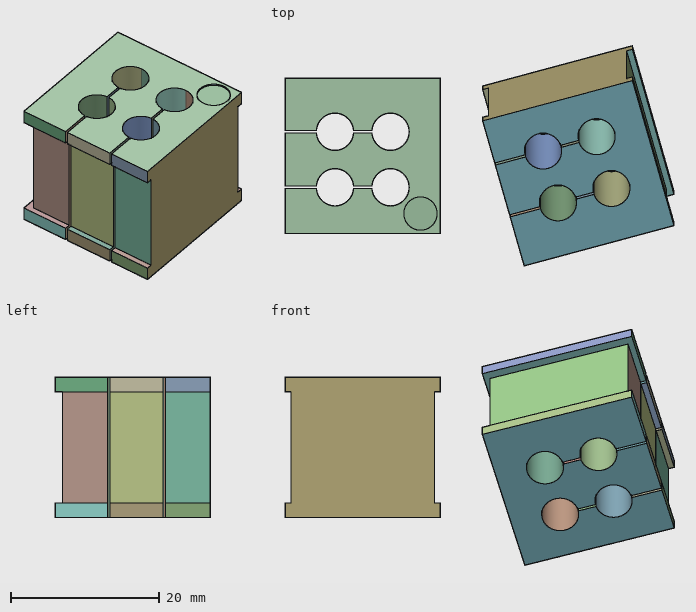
import cadquery as cq

length_x = 21.0
length_y = 21.0
height = 19.0

flange_thickness = 2.0
waist_inset_x = 0.8
waist_inset_back = 1.0

hole_diameter = 5.0
hole_pitch = 7.5
slit_width = 0.3

label_diameter = 4.5
label_depth = 0.2
label_from_right = 2.7
label_from_front = 2.7

right_x = length_x / 2
pattern_center_y = (length_y - waist_inset_back) / 2
hole_xs = [-hole_pitch / 2, hole_pitch / 2]
hole_ys = [pattern_center_y - hole_pitch / 2, pattern_center_y + hole_pitch / 2]


def slab(size_x, size_y, size_z, bottom_z):
    """Box centred on X with its front face at Y = 0."""
    box = cq.Workplane("XY").box(size_x, size_y, size_z, centered=(True, False, False))
    return box.translate((0, 0, bottom_z))


def make_body():
    """Waist with a wider flange at each end."""
    waist = slab(length_x - 2 * waist_inset_x, length_y - waist_inset_back, height, 0)
    bottom_flange = slab(length_x, length_y, flange_thickness, 0)
    top_flange = slab(length_x, length_y, flange_thickness, height - flange_thickness)
    return waist.union(bottom_flange).union(top_flange)


def cut_cable_row(body, row_y):
    """Cut one row of through holes and the slit joining them to the -X side."""
    centers = [(hole_x, row_y) for hole_x in hole_xs]
    holes = cq.Workplane("XY").pushPoints(centers).circle(hole_diameter / 2).extrude(height)
    slit_length = right_x + hole_xs[-1]
    slit = (
        cq.Workplane("XY")
        .center(-right_x + slit_length / 2, row_y)
        .rect(slit_length, slit_width)
        .extrude(height)
    )
    return body.cut(holes).cut(slit)


def cut_label_recess(body):
    """Cut the round label recess into the top face."""
    recess = (
        cq.Workplane("XY", origin=(0, 0, height - label_depth))
        .center(right_x - label_from_right, label_from_front)
        .circle(label_diameter / 2)
        .extrude(label_depth)
    )
    return body.cut(recess)


result = make_body()
for hole_y in hole_ys:
    result = cut_cable_row(result, hole_y)
result = cut_label_recess(result)